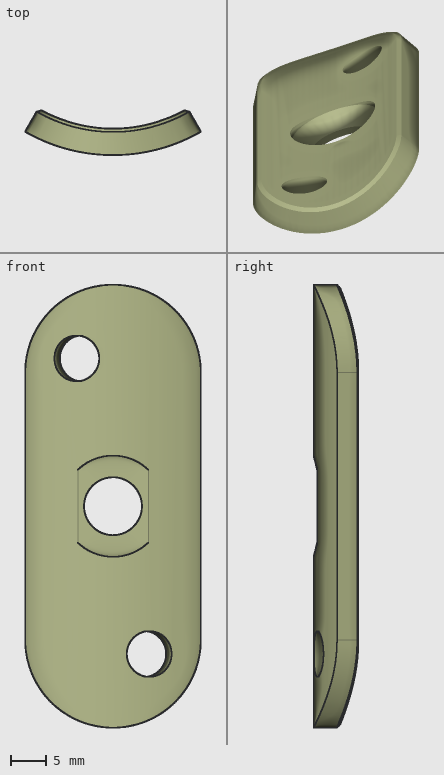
import cadquery as cq
import math

width = 25.0
length = 63.0
outer_radius = 25.0
tube_radius = 21.2
thickness = outer_radius - tube_radius
rim_chamfer = 0.5

mount_diameter = 6.5
mount_angle = 12.0
mount_height = 21.0

center_diameter = 8.2
seat_diameter = 14.4
seat_depth = 0.5
bore_end_depth = 1.5
counterbore_diameter = 12.8
cone_angle = 90.0


def curved_plate():
    """Stadium-shaped skin of the outer cylinder, thickened inward so that its edges point at the axis."""
    cylinder = (
        cq.Workplane("XY")
        .center(0, outer_radius)
        .circle(outer_radius)
        .extrude(length, both=True)
    )
    stadium = cq.Workplane("XZ").slot2D(length, width, 90).extrude(outer_radius, both=True)
    skin = stadium.intersect(cylinder).faces("%CYLINDER").faces("<Y").val()
    plate = cq.Workplane("XY").newObject([skin.thicken(-thickness)])
    return plate.faces("%CYLINDER").faces(">Y").edges().chamfer(rim_chamfer)


def mounting_hole(angle, height):
    """Cutter running from the cylinder axis out through the wall, at an angle from the -Y direction."""
    axis_point = cq.Vector(0, outer_radius, height)
    direction = cq.Vector(math.sin(math.radians(angle)), -math.cos(math.radians(angle)), 0)
    return cq.Solid.makeCylinder(mount_diameter / 2, 2 * outer_radius, axis_point, direction)


def center_hole():
    """Cutter for the seat, bore, cone and counterbore, revolved about the Y axis."""
    bore_radius = center_diameter / 2
    counterbore_radius = counterbore_diameter / 2
    cone_length = (counterbore_radius - bore_radius) / math.tan(math.radians(cone_angle / 2))
    cone_end_depth = bore_end_depth + cone_length
    profile = [
        (0, 0),
        (seat_diameter / 2, 0),
        (seat_diameter / 2, seat_depth),
        (bore_radius, seat_depth),
        (bore_radius, bore_end_depth),
        (counterbore_radius, cone_end_depth),
        (counterbore_radius, outer_radius),
        (0, outer_radius),
    ]
    return cq.Workplane("XY").polyline(profile).close().revolve(360, (0, 0, 0), (0, 1, 0))


result = curved_plate()
for side in (-1, 1):
    result = result.cut(cq.Workplane(mounting_hole(side * mount_angle, -side * mount_height)))
result = result.cut(center_hole())